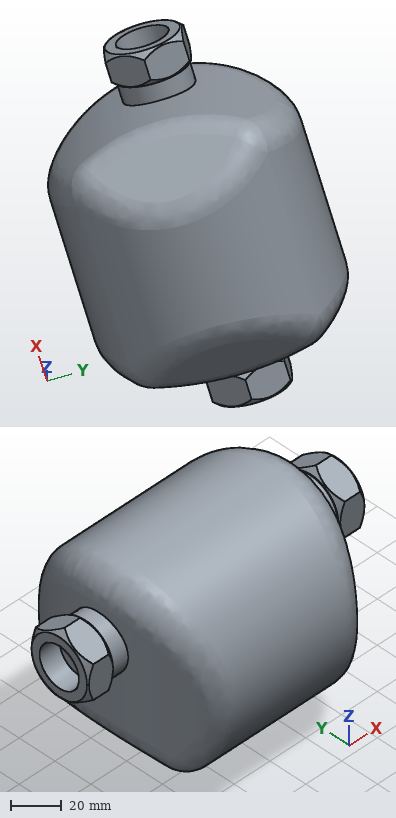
import cadquery as cq
import math

overall_length = 155.0
body_diameter = 104.0
body_length = 110.7
end_face_radius = 90.0
edge_radius = 14.0
slope_top_z = -24.6
slope_angle = 45.0

port_z = 18.9
neck_diameter = 30.0
hex_across_flats = 32.1
hex_length = 14.5
hex_face_diameter = 31.0
hex_corner_angle = 45.0
bore_diameter = 21.9
bore_depth = 11.2

body_radius = body_diameter / 2
half_body = body_length / 2
half_overall = overall_length / 2


def make_body():
    """Cylinder with bulged ends and sloping lower corners, all edges rounded."""
    cylinder = cq.Workplane("YZ").circle(body_radius).extrude(half_overall, both=True)

    end_drop = end_face_radius - math.sqrt(end_face_radius**2 - body_radius**2)
    corner_x = half_body - end_drop
    plan = (
        cq.Workplane("XY")
        .moveTo(-corner_x, -body_radius)
        .lineTo(corner_x, -body_radius)
        .threePointArc((half_body, 0), (corner_x, body_radius))
        .lineTo(-corner_x, body_radius)
        .threePointArc((-half_body, 0), (-corner_x, -body_radius))
        .close()
        .extrude(body_radius, both=True)
    )

    slope_run = (slope_top_z + body_radius) / math.tan(math.radians(slope_angle))
    slope_bottom_x = half_body - slope_run
    side = (
        cq.Workplane("XZ")
        .polyline([
            (-half_body, body_radius),
            (-half_body, slope_top_z),
            (-slope_bottom_x, -body_radius),
            (slope_bottom_x, -body_radius),
            (half_body, slope_top_z),
            (half_body, body_radius),
        ])
        .close()
        .extrude(body_radius, both=True)
    )
    body = cylinder.intersect(plan).intersect(side)
    return body.edges("not(#Y and #Z)").fillet(edge_radius)


def make_fitting():
    """Neck and chamfered hexagon at the +X end."""
    neck = (
        cq.Workplane("YZ")
        .center(0, port_z)
        .circle(neck_diameter / 2)
        .extrude(half_overall - hex_length / 2)
    )
    hex_start = half_overall - hex_length
    hex_corner_diameter = hex_across_flats / math.cos(math.radians(30))
    hexagon = (
        cq.Workplane("YZ", origin=(hex_start, 0, port_z))
        .polygon(6, hex_corner_diameter)
        .extrude(hex_length)
        .rotate((0, 0, port_z), (1, 0, port_z), 90)
    )
    corner_depth = (hex_corner_diameter - hex_face_diameter) / 2
    corner_run = corner_depth / math.tan(math.radians(hex_corner_angle))
    blank = (
        cq.Workplane("YZ", origin=(hex_start, 0, port_z))
        .circle(hex_corner_diameter / 2)
        .extrude(hex_length)
        .edges()
        .chamfer(corner_run, corner_depth)
    )
    return neck.union(hexagon.intersect(blank))


def make_bore():
    """Blind bore entering from the +X end."""
    return (
        cq.Workplane("YZ", origin=(half_overall - bore_depth, 0, port_z))
        .circle(bore_diameter / 2)
        .extrude(bore_depth)
    )


result = make_body()
for turn in (0, 180):
    result = result.union(make_fitting().rotate((0, 0, 0), (0, 0, 1), turn))
    result = result.cut(make_bore().rotate((0, 0, 0), (0, 0, 1), turn))